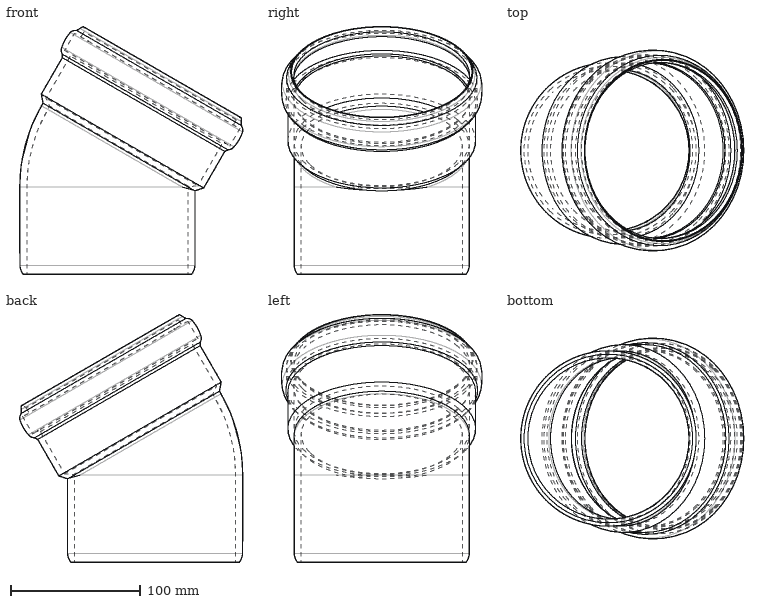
import cadquery as cq
import math

pipe_radius = 135.8 / 2
bore_radius = 124.6 / 2
spigot_height = 67.5
lead_in_height = 7.0
lead_in_depth = 2.7
lead_in_bulge = 0.5

bend_angle = 30
bend_radius = 58.1

socket_radius = 145.3 / 2
socket_bore_radius = 135.8 / 2
socket_length = 69.2
shoulder_start = 2.3
shoulder_end = 7.7
bore_shoulder_start = 2.9
bore_shoulder_end = 6.9

collar_radius = 155.5 / 2
collar_edge_radius = 77.0
collar_start = 40.3
collar_foot = 42.5
collar_foot_radius = 74.2
barrel_start = 47.0
barrel_end = 60.2
collar_end = 64.0
collar_bulge = 0.5
groove_radius = 147.6 / 2
groove_start = 46.0
groove_end = 61.4
groove_chamfer_length = 1.5
groove_chamfer_depth = 0.5

lip_base_radius = 73.6
lip_edge_radius = 72.0
lip_edge = 66.7
lip_radius = 70.5
lip_bulge = 0.2
mouth_bore_radius = 136.1 / 2
mouth_radius = 69.8
mouth_rounding = 3.3


def bulged_midpoint(start_radius, start_height, end_radius, end_height, bulge):
    """Middle of an upward-running profile chord, pushed outward by the bulge."""
    run = end_radius - start_radius
    rise = end_height - start_height
    chord = math.hypot(run, rise)
    return (
        (start_radius + end_radius) / 2 + bulge * rise / chord,
        (start_height + end_height) / 2 - bulge * run / chord,
    )


def spigot_outside():
    """Cylinder with a rounded lead-in at the foot."""
    foot_radius = pipe_radius - lead_in_depth
    return (
        cq.Workplane("XZ")
        .lineTo(foot_radius, 0)
        .threePointArc(
            bulged_midpoint(foot_radius, 0, pipe_radius, lead_in_height, lead_in_bulge),
            (pipe_radius, lead_in_height),
        )
        .lineTo(pipe_radius, spigot_height)
        .lineTo(0, spigot_height)
        .close()
        .revolve(360, (0, 0), (0, 1))
    )


def bend(radius):
    """Swing the part of a disc lying inside the pivot line through the bend angle."""
    half_chord = math.sqrt(radius**2 - bend_radius**2)
    return (
        cq.Workplane("XY", origin=(0, 0, spigot_height))
        .moveTo(bend_radius, -half_chord)
        .threePointArc((-radius, 0), (bend_radius, half_chord))
        .close()
        .revolve(bend_angle, (bend_radius, 0), (bend_radius, 1))
    )


def place_on_bend(body):
    """Move a body from the top of the spigot to the tilted end of the bend."""
    raised = body.translate((0, 0, spigot_height))
    return raised.rotate((bend_radius, 0, spigot_height), (bend_radius, 1, spigot_height), bend_angle)


def socket_outside():
    """Shoulder, cylindrical sleeve, barrel-shaped collar and rounded lip."""
    barrel_middle = (barrel_start + barrel_end) / 2
    profile = (
        cq.Workplane("XZ")
        .lineTo(pipe_radius, 0)
        .lineTo(pipe_radius, shoulder_start)
        .lineTo(socket_radius, shoulder_end)
        .lineTo(socket_radius, collar_start)
        .lineTo(collar_foot_radius, collar_foot)
        .threePointArc(
            bulged_midpoint(collar_foot_radius, collar_foot, collar_edge_radius, barrel_start, collar_bulge),
            (collar_edge_radius, barrel_start),
        )
        .threePointArc((collar_radius, barrel_middle), (collar_edge_radius, barrel_end))
        .threePointArc(
            bulged_midpoint(collar_edge_radius, barrel_end, lip_base_radius, collar_end, collar_bulge),
            (lip_base_radius, collar_end),
        )
        .lineTo(lip_edge_radius, lip_edge)
        .threePointArc(
            bulged_midpoint(lip_edge_radius, lip_edge, lip_radius, socket_length, lip_bulge),
            (lip_radius, socket_length),
        )
        .lineTo(0, socket_length)
        .close()
    )
    return place_on_bend(profile.revolve(360, (0, 0), (0, 1)))


def socket_inside():
    """Stepped bore with a seal groove inside the collar and a flared mouth."""
    groove_edge_radius = socket_bore_radius + groove_chamfer_depth
    profile = (
        cq.Workplane("XZ")
        .lineTo(bore_radius, 0)
        .lineTo(bore_radius, bore_shoulder_start)
        .lineTo(socket_bore_radius, bore_shoulder_end)
        .lineTo(socket_bore_radius, groove_start - groove_chamfer_length)
        .lineTo(groove_edge_radius, groove_start)
        .lineTo(groove_radius, groove_start)
        .lineTo(groove_radius, groove_end)
        .lineTo(groove_edge_radius, groove_end)
        .lineTo(mouth_bore_radius, groove_end + groove_chamfer_length)
        .lineTo(mouth_bore_radius, socket_length - mouth_rounding)
        .lineTo(mouth_radius, socket_length)
        .lineTo(0, socket_length)
        .close()
    )
    return place_on_bend(profile.revolve(360, (0, 0), (0, 1)))


spigot_bore = cq.Workplane("XY").circle(bore_radius).extrude(spigot_height)
outside = spigot_outside().union(bend(pipe_radius)).union(socket_outside())
result = outside.cut(spigot_bore).cut(bend(bore_radius)).cut(socket_inside())